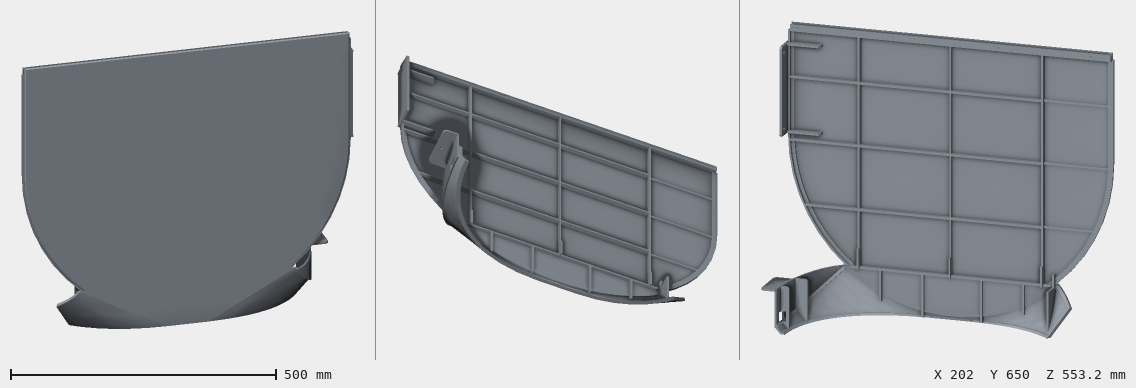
import cadquery as cq
import math

total_depth = 201.99
total_height = 553.2
rear_thickness = 4.0
rear_half_width = 319.0
rear_chamfer = 2.0
rear_front_x = -rear_thickness
border_x = -8.4
panel_half_width = 322.5
panel_top_z = 540.3
panel_arc_z = 336.0
low_arc_radius = 333.0
low_arc_bottom_z = 7.0
border_width = 10.5
pocket_low_half_width = 202.0
pocket_corner_height = 14.0
edge_rim_x = -14.6
edge_rim_width = 3.8

lip_x = -14.6
lip_rear_x = -10.4
lip_bottom_z = 538.0
lip_top_z = 551.0
bump_x = -16.7
bump_z = 545.2
bump_height = 2.5
long_bump = 12.5
short_bump = 4.0
short_bump_pitch = 6.3
long_bump_places = (309.0, 119.0)
short_bump_places = (-90.4, -280.0)

rib_x = -14.6
rib_width = 4.2
centre_rib_width = 2.5
rib_y = 182.6
low_rib_z = 87.2
low_rib_half_length = 205.0
cross_rib_z = (200.2, 325.2, 448.3)
foot_x = -20.5
foot_top_z = 125.5

sheet_thickness = 4.0
corner_y = 210.0
corner_z = 90.0
low_weight = 1.25
fold_weight = 0.7
arm_radius = {1: total_depth - rear_thickness, -1: 280.0}
low_end_angle = {1: 92.0, -1: 37.8}
fold_end_angle = {1: 92.0, -1: 26.3}
low_start_y = 37.0
low_spread = {1: 231.0, -1: 259.0}
fold_drop = {1: 73.0, -1: 97.0}
bead_width = 4.2
fold_bead_width = 5.5
bead_depth = 2.5
end_bead_depth = 2.0
outside_depth = 30.0
sheet_steps = 8

wall_top_z = 85.5
wall_start_x = -197.0
wall_embed = 4.0
wall_thickness = 4.0
tab_thickness = 4.2
tab_x = (-198.5, -118.0)
tab_end_y = 314.0
tab_corner = 8.0
tab_hole = (-158.0, 303.0)
tab_hole_diameter = 5.0
window_x = (-182.4, -158.8)
window_z = (16.0, 36.5)
window_start_y = 272.5
arm_rib_x = (-171.3, -113.0)
arm_rib_corner = 6.0

low_ribs_middle_y = -2.7
low_ribs = ((-142.0, 25.5), (-58.4, 2.0), (58.4, 2.0), (142.0, 25.5))
low_rib_width = 4.2
gusset_y = -205.0
gusset_x = -48.0
gusset_tab_x = -17.6
gusset_tab_z = 111.0

bracket_thickness = 5.0
bracket_x = (-49.5, -4.5)
bracket_z = (339.6, 515.7)
bracket_corner = 4.0
bracket_slot_x = -38.0
bracket_slot_inset = 13.3
bracket_slot_length = 8.0
bracket_slot_width = 5.0
arm_thickness = 4.4
arm_x = -20.7
arm_end_y = 257.0
arm_chamfer = 4.0


def box(x, y, z):
    """Box spanning the given (low, high) pairs along X, Y and Z."""
    size = [pair[1] - pair[0] for pair in (x, y, z)]
    return cq.Workplane("XY").box(*size, centered=False).translate((x[0], y[0], z[0]))


def centred(middle, width):
    """Pair of limits of the given width about a middle value."""
    return (middle - width / 2, middle + width / 2)


def d_shape(half_width, top_z, x):
    """D-shaped plate: straight upper sides closed by a half circle below."""
    outline = (
        cq.Workplane("YZ", origin=(x[0], 0, 0))
        .moveTo(-half_width, top_z)
        .lineTo(-half_width, panel_arc_z)
        .threePointArc((0, panel_arc_z - half_width), (half_width, panel_arc_z))
        .lineTo(half_width, top_z)
        .close()
    )
    return outline.extrude(x[1] - x[0])


def make_panel():
    """Rear sheet with its skirt, the raised border frame and the +Y edge rim."""
    rear = d_shape(rear_half_width, total_height, (rear_front_x, 0)).faces(">X").chamfer(rear_chamfer)
    skirt = (
        cq.Workplane("YZ", origin=(rear_front_x, 0, 0))
        .moveTo(-low_start_y, 0)
        .lineTo(low_start_y, 0)
        .lineTo(corner_y, corner_z)
        .lineTo(-corner_y, corner_z)
        .close()
        .extrude(rear_thickness)
    )
    frame_x = (border_x, rear_front_x)
    full_width = (-panel_half_width, panel_half_width)
    panel = d_shape(panel_half_width, panel_top_z, frame_x)
    low_arc_z = low_arc_bottom_z + low_arc_radius
    low_panel = cq.Workplane("YZ", origin=(border_x, 0, low_arc_z)).circle(low_arc_radius)
    low_panel = low_panel.extrude(rear_front_x - border_x)
    low_panel = low_panel.intersect(box(frame_x, full_width, (0, low_rib_z)))

    pocket = d_shape(panel_half_width - border_width, panel_top_z, frame_x)
    pocket = pocket.intersect(box(frame_x, full_width, (low_rib_z, lip_bottom_z)))
    for side in (-1, 1):
        limits = sorted((side * pocket_low_half_width, side * panel_half_width))
        corner_fill = box(frame_x, limits, (low_rib_z, low_rib_z + pocket_corner_height))
        pocket = pocket.cut(corner_fill)

    rim_x = (edge_rim_x, border_x)
    rim = d_shape(panel_half_width, panel_top_z, rim_x)
    rim = rim.cut(d_shape(panel_half_width - edge_rim_width, panel_top_z, rim_x))
    rim = rim.intersect(box(rim_x, (0, panel_half_width), (corner_z, panel_top_z)))
    return rear.union(skirt).union(panel).union(low_panel).cut(pocket).union(rim)


def make_lip():
    """Lip along the top of the panel with its locating bumps."""
    span = (-rear_half_width, rear_half_width)
    lip = box((lip_x, lip_rear_x), span, (lip_bottom_z, lip_top_z))
    lip = lip.union(box((lip_x, border_x), span, (lip_bottom_z, panel_top_z)))
    bumps = [(y, long_bump) for y in long_bump_places]
    for y in short_bump_places:
        bumps.append((y - short_bump_pitch / 2, short_bump))
        bumps.append((y + short_bump_pitch / 2, short_bump))
    for y, length in bumps:
        lip = lip.union(box((bump_x, lip_x), centred(y, length), centred(bump_z, bump_height)))
    return lip


def make_grid():
    """Cross ribs, low beyond the -Y upright, and three uprights with thicker feet."""
    x = (rib_x, rear_front_x)
    low_end = low_rib_z - rib_width / 2
    inner_half_width = panel_half_width - edge_rim_width
    low_span = (-low_rib_half_length, low_rib_half_length)
    grid = box(x, low_span, centred(low_rib_z, rib_width))
    for z in cross_rib_z:
        grid = grid.union(box(x, (-rib_y, inner_half_width), centred(z, rib_width)))
        low_part = (border_x, rear_front_x)
        grid = grid.union(box(low_part, (-inner_half_width, -rib_y), centred(z, rib_width)))
    grid = grid.intersect(d_shape(inner_half_width, panel_top_z, x))
    for y, width in ((-rib_y, rib_width), (0, centre_rib_width), (rib_y, rib_width)):
        grid = grid.union(box(x, centred(y, width), (low_end, lip_bottom_z)))
        grid = grid.union(box((foot_x, rib_x), centred(y, width), (low_end, foot_top_z)))
    return grid


def eased(value, weight):
    """Blend of value and its square that keeps 0 and 1 in place."""
    return weight * value + (1 - weight) * value**2


def low_point(side, sweep):
    """Point on the low edge of the inner chute surface; sweep is 0 at the panel, 1 at the free end."""
    angle = math.radians(sweep * low_end_angle[side])
    x = rear_front_x - arm_radius[side] * (1 - math.cos(angle))
    y = low_start_y + low_spread[side] * eased(math.sin(angle), low_weight)
    return cq.Vector(x, side * y, 0)


def fold_point(side, sweep):
    """Point on the fold edge, which lies in a plane leaning at 45 degrees."""
    angle = math.radians(sweep * fold_end_angle[side])
    x = rear_front_x - arm_radius[side] * (1 - math.cos(angle))
    drop = fold_drop[side] * eased(math.sin(angle), fold_weight)
    return cq.Vector(x, side * (corner_y + drop), corner_z - drop)


def section_frame(side, sweep):
    """Low point, unit ruling direction, unit outward normal and ruling length of a chute section."""
    low = low_point(side, sweep)
    ruling = fold_point(side, sweep) - low
    step = 0.001
    along = low_point(side, sweep + step) + fold_point(side, sweep + step) - low - fold_point(side, sweep)
    normal = ruling.cross(along).normalized() * -side
    return low, ruling.normalized(), normal, ruling.Length


def at_height(frame, offset, z):
    """Section point at height z, offset outwards from the chute surface."""
    low, direction, normal, _ = frame
    start = low + normal * offset
    return start + direction * ((z - start.z) / direction.z)


def at_fold(frame, offset, distance):
    """Section point a distance down the ruling from the fold edge, offset outwards."""
    low, direction, normal, length = frame
    return low + direction * (length - distance) + normal * offset


def sheet_section(frame):
    """Sheet with a bead inside its low edge and another inside its fold edge."""
    return [
        at_height(frame, sheet_thickness, 0),
        at_fold(frame, sheet_thickness, 0),
        at_fold(frame, -bead_depth, 0),
        at_fold(frame, -bead_depth, fold_bead_width),
        at_fold(frame, 0, fold_bead_width),
        at_height(frame, 0, bead_width),
        at_height(frame, -bead_depth, bead_width),
        at_height(frame, -bead_depth, 0),
    ]


def end_bead_section(frame):
    """Bead along the free end, running from inside the low bead into the fold bead."""
    return [
        at_height(frame, sheet_thickness / 2, bead_width / 2),
        at_fold(frame, sheet_thickness / 2, fold_bead_width / 2),
        at_fold(frame, -end_bead_depth, fold_bead_width / 2),
        at_height(frame, -end_bead_depth, bead_width / 2),
    ]


def outside_section(frame):
    """Space beyond the middle of the sheet, used to trim what ends in the sheet."""
    return [
        at_height(frame, sheet_thickness / 2, -outside_depth),
        at_fold(frame, sheet_thickness / 2, -outside_depth),
        at_fold(frame, outside_depth, -outside_depth),
        at_height(frame, outside_depth, -outside_depth),
    ]


def chute_loft(side, start, section, steps=sheet_steps):
    """Solid through the sections found from the start sweep to the free end."""
    wires = []
    for i in range(steps + 1):
        frame = section_frame(side, start + (1 - start) * i / steps)
        wires.append(cq.Wire.makePolygon(section(frame), close=True))
    return cq.Workplane(cq.Solid.makeLoft(wires))


def make_chute_arm(side):
    """One curved arm of the chute, beaded inside its low, fold and free edges."""
    end_start = 1 - bead_width / (low_point(side, 1) - low_point(side, 0)).Length
    arm = chute_loft(side, 0, sheet_section)
    return arm.union(chute_loft(side, end_start, end_bead_section, 2))


def make_middle_bead():
    """Bead joining the low beads of the two arms across the foot of the panel."""
    x = (rear_front_x - bead_depth, rear_front_x)
    return box(x, (-low_start_y, low_start_y), (0, bead_width))


def fold_plan(gap):
    """Plan curve of the +Y fold edge moved outwards by gap, as a list of points."""
    points = []
    for i in range(sheet_steps + 1):
        sweep = i / sheet_steps
        angle = math.radians(sweep * fold_end_angle[1])
        point = fold_point(1, sweep)
        points.append((point.x + gap * math.cos(angle), point.y + gap * math.sin(angle)))
    return points


def plan_prism(inner, outer):
    """Prism between two plan curves, up to the top of the side wall."""
    outline = cq.Workplane("XY").moveTo(*inner[0]).spline(inner[1:], includeCurrent=True)
    outline = outline.lineTo(*outer[-1]).spline(outer[-2::-1], includeCurrent=True)
    return outline.close().extrude(wall_top_z)


def make_wall():
    """Upright wall on the fold edge with a horizontal tab along its top."""
    wall = plan_prism(fold_plan(0), fold_plan(wall_thickness))
    foot_line = corner_y + corner_z - wall_embed
    above_fold = (
        cq.Workplane("YZ", origin=(wall_start_x, 0, 0))
        .moveTo(foot_line - wall_top_z, wall_top_z)
        .lineTo(panel_half_width, wall_top_z)
        .lineTo(panel_half_width, foot_line - panel_half_width)
        .close()
        .extrude(-wall_start_x)
    )
    tab = box(tab_x, (corner_y, tab_end_y), (wall_top_z - tab_thickness, wall_top_z))
    tab = tab.edges("|Z and >Y").fillet(tab_corner)
    hole = cq.Workplane("XY").center(*tab_hole).circle(tab_hole_diameter / 2).extrude(wall_top_z)
    behind_wall = plan_prism(fold_plan(wall_thickness / 2), fold_plan(tab_end_y - corner_y))
    tab = tab.cut(hole).intersect(behind_wall)
    return wall.intersect(above_fold).union(tab)


def make_arm_ribs():
    """Upright ribs between the side wall and the low edge of the +Y arm."""
    ribs = cq.Workplane("XY")
    for x in arm_rib_x:
        sweep = math.degrees(math.acos(1 - (rear_front_x - x) / arm_radius[1])) / low_end_angle[1]
        low_y = low_point(1, sweep).y
        wall_y = fold_point(1, sweep).y + wall_thickness / 2
        rib = box(centred(x, low_rib_width), (low_y, wall_y), (0, wall_top_z))
        ribs = ribs.add(rib.edges("|X and <Y and >Z").fillet(arm_rib_corner))
    return ribs.combine()


def make_low_ribs():
    """Ribs running down from the lowest cross rib into the chute, and the -Y gusset."""
    ribs = cq.Workplane("XY")
    for offset, low_z in low_ribs:
        y = centred(low_ribs_middle_y + offset, low_rib_width)
        ribs = ribs.add(box((rib_x, rear_front_x), y, (low_z, low_rib_z)))
    gusset_span = centred(gusset_y, low_rib_width)
    ribs = ribs.add(box((gusset_x, rear_front_x), gusset_span, (0, wall_top_z)))
    ribs = ribs.add(box((gusset_tab_x, rear_front_x), gusset_span, (0, gusset_tab_z)))
    return ribs.combine()


def make_bracket():
    """Slotted plate on the +Y edge held by two chamfered arms."""
    outer_y = panel_half_width + bracket_thickness
    plate = box(bracket_x, (panel_half_width, outer_y), bracket_z)
    plate = plate.edges("|Y and <X").fillet(bracket_corner)
    for z in (bracket_z[0] + bracket_slot_inset, bracket_z[1] - bracket_slot_inset):
        slot = (
            cq.Workplane("XZ", origin=(bracket_slot_x, outer_y, z))
            .slot2D(bracket_slot_length, bracket_slot_width)
            .extrude(bracket_thickness)
        )
        plate = plate.cut(slot)
    for z in (bracket_z[0], bracket_z[1] - arm_thickness):
        arm = box((arm_x, rear_front_x), (arm_end_y, outer_y), (z, z + arm_thickness))
        plate = plate.union(arm.edges("|Z and <X and <Y").chamfer(arm_chamfer))
    return plate


ribs = make_arm_ribs().union(make_low_ribs())
for arm_side in (1, -1):
    ribs = ribs.cut(chute_loft(arm_side, 0, outside_section))
window = box(window_x, (window_start_y, tab_end_y), window_z)
arms = make_chute_arm(1).union(make_wall()).union(ribs).union(make_chute_arm(-1)).cut(window)
arms = arms.intersect(
    box((-total_depth, 0), (-panel_half_width, panel_half_width), (0, total_height))
)
body = make_panel().union(make_lip()).union(make_grid()).union(make_bracket())
body = body.union(make_middle_bead()).union(arms)

result = cq.Workplane(max(body.solids().vals(), key=lambda solid: solid.Volume()))